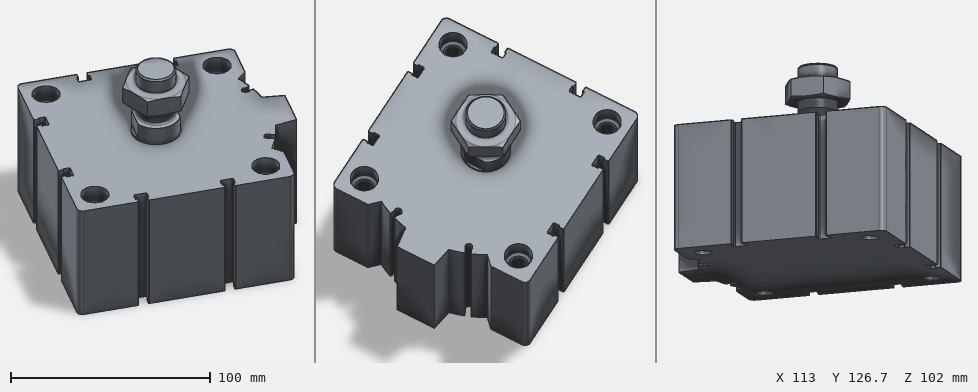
import cadquery as cq
import math

BODY_WIDTH = 113.0
BODY_HEIGHT = 64.0
BODY_HALF = BODY_WIDTH / 2
CORNER_RADIUS = 3.0

BLOCK_TOP_Y = 70.2
BLOCK_TOP_HALF_WIDTH = 10.7
BLOCK_BASE_HALF_WIDTH = 12.5

RELIEF_RADIUS = 60.0
RELIEF_END_X = 30.6
RELIEF_END_Y = math.sqrt(RELIEF_RADIUS**2 - RELIEF_END_X**2)
RELIEF_EDGE_X = RELIEF_END_X + BODY_HALF - RELIEF_END_Y

T_SLOT_OFFSET = 22.5
T_SLOT_NECK_WIDTH = 5.2
T_SLOT_HEAD_WIDTH = 6.8
T_SLOT_NECK_DEPTH = 2.8
T_SLOT_DEPTH = 6.3
T_SLOT_HEAD_CHAMFER = 0.5
SLOT_LIP_CHAMFER = 0.35

ROUND_SLOT_ANGLE = 21.3
ROUND_SLOT_DIAMETER = 3.9
ROUND_SLOT_NECK_WIDTH = 3.1
ROUND_SLOT_CENTER_RADIUS = 56.3

HOLE_OFFSET = 44.5
HOLE_DIAMETER = 8.38
COUNTERBORE_DIAMETER = 14.0
COUNTERBORE_DEPTH = 9.0
HOLE_MOUTH_DIAMETER = 10.0

COLLAR_DIAMETER = 25.0
COLLAR_LENGTH = 10.0
FLATS_DISTANCE = 22.0
FLATS_START = 1.0
NECK_DIAMETER = 17.9
NECK_LENGTH = 2.15
NECK_FILLET = 1.0
THREAD_DIAMETER = 20.0
THREAD_TIP_DIAMETER = 18.38
THREAD_TIP_LENGTH = 0.9
UNDERCUT_LENGTH = 5.0
ROD_LENGTH = 38.0

NUT_ACROSS_FLATS = 30.0
NUT_HEIGHT = 10.0
NUT_START = 20.0
NUT_FACE_DIAMETER = 29.9
NUT_CHAMFER_ANGLE = 15.0


def housing_outline():
    """Square section with the block and the round relief on the +Y side, extruded."""
    block_base_y = math.sqrt(RELIEF_RADIUS**2 - BLOCK_BASE_HALF_WIDTH**2)
    arc_mid_x = (BLOCK_BASE_HALF_WIDTH + RELIEF_END_X) / 2
    arc_mid_y = math.sqrt(RELIEF_RADIUS**2 - arc_mid_x**2)
    blank = (
        cq.Workplane("XY")
        .moveTo(-BODY_HALF, -BODY_HALF)
        .lineTo(BODY_HALF, -BODY_HALF)
        .lineTo(BODY_HALF, BODY_HALF)
        .lineTo(RELIEF_EDGE_X, BODY_HALF)
        .lineTo(RELIEF_END_X, RELIEF_END_Y)
        .threePointArc((arc_mid_x, arc_mid_y), (BLOCK_BASE_HALF_WIDTH, block_base_y))
        .lineTo(BLOCK_TOP_HALF_WIDTH, BLOCK_TOP_Y)
        .lineTo(-BLOCK_TOP_HALF_WIDTH, BLOCK_TOP_Y)
        .lineTo(-BLOCK_BASE_HALF_WIDTH, block_base_y)
        .threePointArc((-arc_mid_x, arc_mid_y), (-RELIEF_END_X, RELIEF_END_Y))
        .lineTo(-RELIEF_EDGE_X, BODY_HALF)
        .lineTo(-BODY_HALF, BODY_HALF)
        .close()
        .extrude(BODY_HEIGHT)
    )
    return blank.edges("|Z and (<X or >X)").fillet(CORNER_RADIUS)


def slot_neck(neck_width, mouth_y, depth):
    """Straight slot opening toward +Y at mouth_y, its lips chamfered."""
    half = neck_width / 2
    lip_half = half + 2 * SLOT_LIP_CHAMFER
    return (
        cq.Workplane("XY")
        .moveTo(-half, mouth_y - depth)
        .lineTo(half, mouth_y - depth)
        .lineTo(half, mouth_y - SLOT_LIP_CHAMFER)
        .lineTo(lip_half, mouth_y + SLOT_LIP_CHAMFER)
        .lineTo(-lip_half, mouth_y + SLOT_LIP_CHAMFER)
        .lineTo(-half, mouth_y - SLOT_LIP_CHAMFER)
        .close()
        .extrude(BODY_HEIGHT)
    )


def t_slot():
    """T-slot cutter opening toward +Y at the side of the housing, centred on X = 0."""
    head_depth = T_SLOT_DEPTH - T_SLOT_NECK_DEPTH
    head = (
        cq.Workplane("XY")
        .center(0, BODY_HALF - T_SLOT_DEPTH + head_depth / 2)
        .rect(T_SLOT_HEAD_WIDTH, head_depth)
        .extrude(BODY_HEIGHT)
        .edges("|Z and <Y")
        .chamfer(T_SLOT_HEAD_CHAMFER)
    )
    return slot_neck(T_SLOT_NECK_WIDTH, BODY_HALF, T_SLOT_DEPTH).union(head)


def round_slot():
    """Round-bottomed slot cutter opening toward +Y at the relief radius."""
    bottom = (
        cq.Workplane("XY")
        .center(0, ROUND_SLOT_CENTER_RADIUS)
        .circle(ROUND_SLOT_DIAMETER / 2)
        .extrude(BODY_HEIGHT)
    )
    neck_depth = RELIEF_RADIUS - ROUND_SLOT_CENTER_RADIUS
    return slot_neck(ROUND_SLOT_NECK_WIDTH, RELIEF_RADIUS, neck_depth).union(bottom)


def turned(shape, angle):
    """The shape turned about the Z axis."""
    return shape.rotate((0, 0, 0), (0, 0, 1), angle)


def mounting_hole():
    """Counterbored through hole with a chamfered mouth, as a cutter on the Z axis."""
    floor_z = BODY_HEIGHT - COUNTERBORE_DEPTH
    hole_radius = HOLE_DIAMETER / 2
    mouth_radius = HOLE_MOUTH_DIAMETER / 2
    counterbore_radius = COUNTERBORE_DIAMETER / 2
    return (
        cq.Workplane("XZ")
        .lineTo(hole_radius, 0)
        .lineTo(hole_radius, floor_z - (mouth_radius - hole_radius))
        .lineTo(mouth_radius, floor_z)
        .lineTo(counterbore_radius, floor_z)
        .lineTo(counterbore_radius, BODY_HEIGHT)
        .lineTo(0, BODY_HEIGHT)
        .close()
        .revolve(360, (0, 0, 0), (0, 1, 0))
    )


def make_housing():
    housing = housing_outline()
    for side_angle in (90, 180, 270):
        for offset in (-T_SLOT_OFFSET, T_SLOT_OFFSET):
            housing = housing.cut(turned(t_slot().translate((offset, 0, 0)), side_angle))
    for angle in (-ROUND_SLOT_ANGLE, ROUND_SLOT_ANGLE):
        housing = housing.cut(turned(round_slot(), angle))
    for x in (-HOLE_OFFSET, HOLE_OFFSET):
        for y in (-HOLE_OFFSET, HOLE_OFFSET):
            housing = housing.cut(mounting_hole().translate((x, y, 0)))
    return housing


def make_rod():
    """Rod end standing on the housing: collar with two flats, undercut neck and thread."""
    collar_radius = COLLAR_DIAMETER / 2
    neck_radius = NECK_DIAMETER / 2
    thread_radius = THREAD_DIAMETER / 2
    collar_top = BODY_HEIGHT + COLLAR_LENGTH
    neck_top = collar_top + NECK_LENGTH
    thread_start = collar_top + UNDERCUT_LENGTH
    rod_top = BODY_HEIGHT + ROD_LENGTH
    rod = (
        cq.Workplane("XZ")
        .moveTo(0, BODY_HEIGHT)
        .lineTo(collar_radius, BODY_HEIGHT)
        .lineTo(collar_radius, collar_top)
        .lineTo(neck_radius, collar_top)
        .lineTo(neck_radius, neck_top)
        .lineTo(thread_radius, thread_start)
        .lineTo(thread_radius, rod_top - THREAD_TIP_LENGTH)
        .lineTo(THREAD_TIP_DIAMETER / 2, rod_top)
        .lineTo(0, rod_top)
        .close()
        .revolve(360, (0, 0, 0), (0, 1, 0))
    )
    neck_wall = rod.faces(cq.NearestToPointSelector((0, 0, collar_top + NECK_LENGTH / 2)))
    rod = neck_wall.edges("%CIRCLE").fillet(NECK_FILLET)
    flats_height = COLLAR_LENGTH - FLATS_START
    for side in (-1, 1):
        flat_cut = cq.Workplane("XY").box(
            COLLAR_DIAMETER, COLLAR_DIAMETER, flats_height, centered=(True, True, False)
        )
        flat_y = side * (FLATS_DISTANCE + COLLAR_DIAMETER) / 2
        rod = rod.cut(flat_cut.translate((0, flat_y, BODY_HEIGHT + FLATS_START)))
    return rod


def make_nut():
    """Hexagon nut, corners along Y, with both faces chamfered to a circle."""
    corner_radius = NUT_ACROSS_FLATS / math.sqrt(3)
    face_radius = NUT_FACE_DIAMETER / 2
    corner_drop = (corner_radius - face_radius) * math.tan(math.radians(NUT_CHAMFER_ANGLE))
    hexagon = turned(cq.Workplane("XY").polygon(6, 2 * corner_radius).extrude(NUT_HEIGHT), 30)
    chamfered_disc = (
        cq.Workplane("XZ")
        .lineTo(face_radius, 0)
        .lineTo(corner_radius, corner_drop)
        .lineTo(corner_radius, NUT_HEIGHT - corner_drop)
        .lineTo(face_radius, NUT_HEIGHT)
        .lineTo(0, NUT_HEIGHT)
        .close()
        .revolve(360, (0, 0, 0), (0, 1, 0))
    )
    thread_hole = cq.Workplane("XY").circle(THREAD_DIAMETER / 2).extrude(NUT_HEIGHT)
    nut = hexagon.intersect(chamfered_disc).cut(thread_hole)
    return nut.translate((0, 0, BODY_HEIGHT + NUT_START))


housing = make_housing()
rod = make_rod()
nut = make_nut()
result = cq.Compound.makeCompound([housing.val(), rod.val(), nut.val()])